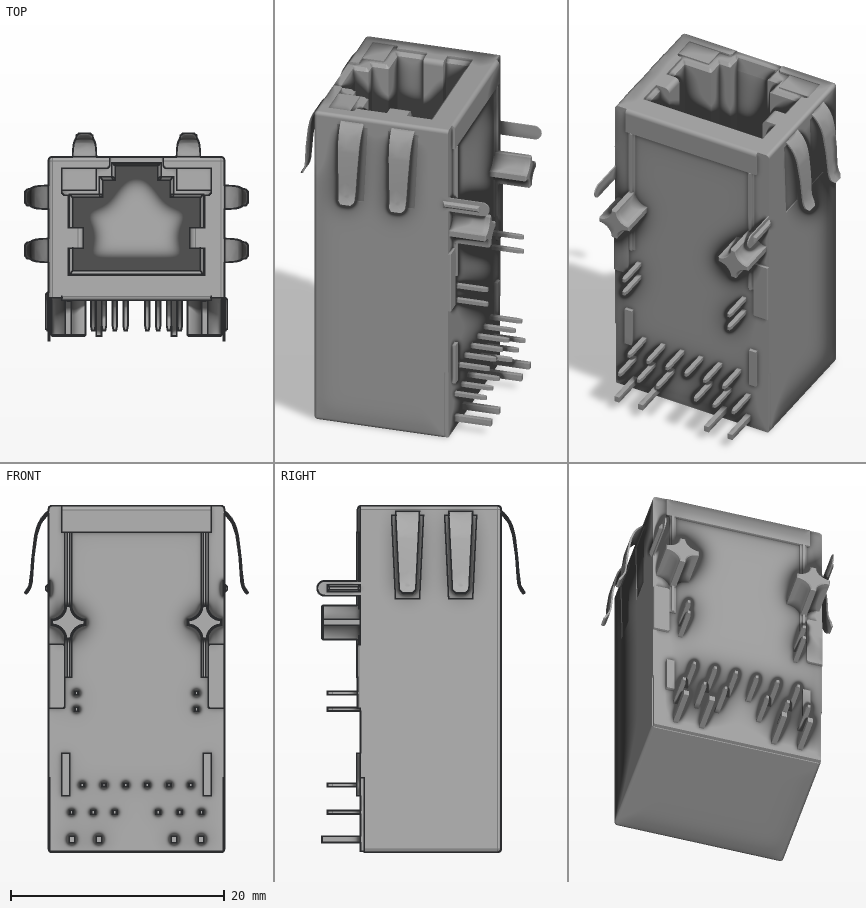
import cadquery as cq
WIDTH = 16.5
DEPTH = 13.2
HEIGHT = 32.5
HALF_WIDTH = WIDTH / 2
EDGE_RADIUS = 0.35
SHEET = 0.2

LIP_HALF_WIDTH = 7.0
LIP_HEIGHT = 2.5
LIP_BEND = 0.4
FOLD_THICKNESS = 0.27

OPENING_DEPTH = 0.25
OPENING_HALF_WIDTH = 6.42
OPENING_BOTTOM = 2.1
LED_BOTTOM = 10.06
LED_TOP = 12.14
LED_INNER = 3.77
LED_OUTER = 7.0
LED_POCKET_BOTTOM = 9.6
LED_RISE = 0.15
OPENING_CORNER = 0.2
BACK_NOTCH_HALF_WIDTH = 2.5
LATCH_LEAD_IN = 0.2
LATCH_LEAD_DEPTH = 1.5

JACK_DEPTH = 14.0
JACK_BOTTOM = 2.5
JACK_HALF_WIDTH = 5.98
SHOULDER_HEIGHT = 9.39
MID_HALF_WIDTH = 3.16
MID_HEIGHT = 11.02
LATCH_HALF_WIDTH = 2.0
LATCH_HEIGHT = 12.35
MOUTH_CHAMFER = 0.31
MOUTH_CHAMFER_ANGLE = 45

CONTACT_TAB_INNER = 5.0
CONTACT_TAB_LOW = 4.63
CONTACT_TAB_HIGH = 6.57
CONTACT_TAB_LENGTH = 6.0
CONTACT_TAB_RADIUS = 0.5

SPRING_REACH = 2.215
SPRING_SHEET = 0.15
SPRING_INNER_DROP = 0.08
SPRING_TOP = 32.1
SPRING_TIP = 24.25
SPRING_TOP_HALF_WIDTH = 1.13
SPRING_TIP_HALF_WIDTH = 0.77
SPRING_TIP_CHAMFER = 0.35
SPRING_BOW = ((0.86, 30.96), (1.43, 28.6), (1.63, 26.4), (1.80, 25.0))
WINDOW_TOP = 31.6
WINDOW_BOTTOM = 23.75
WINDOW_TOP_HALF_WIDTH = 1.5
WINDOW_BOTTOM_HALF_WIDTH = 1.13
WINDOW_DEPTH = 0.1
SIDE_SPRING_POSITIONS = (4.42, 9.4)
BACK_SPRING_X = 4.87

RAIL_X = 6.38
RAIL_WIDTH = 0.65
RAIL_RIB_WIDTH = 0.22
RAIL_BASE_HEIGHT = 0.15
RAIL_HEIGHT = 0.35
RAIL_BOTTOM = 16.4
FOOT_INNER = 6.27
FOOT_OUTER = 7.02
FOOT_BOTTOM = 5.3
FOOT_TOP = 9.3
FOLD_INNER = 6.72
FOLD_BOTTOM = 13.5
FOLD_TOP = 19.5
FOLD_CORNER = 0.2
FOLD_BEND = 0.12
REBATE_HEIGHT = 7.0
REBATE_DEPTH = 0.36
REBATE_INSET = 0.1

PEG_Z = 21.55
PEG_HALF_SPAN = 1.6
PEG_TIP_WIDTH = 0.55
PEG_WAIST = 0.67
PEG_LENGTH = 3.6
PEG_CHAMFER = 0.1

GROUND_TAB_Z = 24.75
GROUND_TAB_WIDTH = 1.4
GROUND_TAB_LENGTH = 4.05
GROUND_TAB_SHEET = 0.12
GROUND_RIB_WIDTH = 0.65
GROUND_RIB_HEIGHT = 0.27
GROUND_RIB_CHAMFER = 0.2
GROUND_RIB_END = 3.12
LEFT_RIB_START = 0.5
RIGHT_RIB_START = 0.0

PIN_PITCH = 2.03
PIN_WIDTH = 0.44
PIN_HEIGHT = 0.36
PIN_TIP_WIDTH = 0.26
PIN_LENGTH = 3.1
PIN_TIP_LENGTH = 0.45
LED_PIN_X = 5.62
LED_PIN_LEVELS = (13.42, 14.93)
UPPER_ROW_Z = 6.32
LOWER_ROW_Z = 3.76
POST_Z = 1.22
POST_POSITIONS = (3.53, 6.06)
POST_WIDTH = 0.5
POST_HEIGHT = 0.6
POST_LENGTH = PEG_LENGTH


def block(x0, x1, y0, y1, z0, z1):
    """Box between opposite corners."""
    size = (x1 - x0, y1 - y0, z1 - z0)
    return cq.Workplane("XY").box(*size, centered=False).translate((x0, y0, z0))


def both_sides(solid):
    """The solid together with its mirror image across the YZ plane."""
    return solid.union(solid.mirror("YZ"))


def mirrored_outline(right_half):
    """Closed outline from its right half, listed from the lowest point up."""
    left_half = [(-x, y) for x, y in reversed(right_half)]
    return right_half + left_half


def shell_body():
    """Rounded box with a sheet lip folded onto its mounting face."""
    body = block(-HALF_WIDTH, HALF_WIDTH, 0, DEPTH, 0, HEIGHT)
    body = body.edges("not <Y").fillet(EDGE_RADIUS)
    corner = block(-LIP_HALF_WIDTH, LIP_HALF_WIDTH, 0, LIP_BEND, HEIGHT - LIP_BEND, HEIGHT)
    lip = block(-LIP_HALF_WIDTH, LIP_HALF_WIDTH, -FOLD_THICKNESS, LIP_BEND, HEIGHT - LIP_HEIGHT, HEIGHT)
    lip = lip.edges(">Z and <Y").fillet(LIP_BEND)
    return body.cut(corner).union(lip)


def lower_rebate():
    """Shallow step along the lower mounting-face corners and bottom edge."""
    side = block(HALF_WIDTH - REBATE_INSET, HALF_WIDTH, 0, REBATE_DEPTH, 0, REBATE_HEIGHT)
    bottom = block(-HALF_WIDTH, HALF_WIDTH, 0, REBATE_DEPTH, 0, REBATE_INSET)
    return both_sides(side).union(bottom)


def shell_opening():
    """Opening in the top sheet, carried out through the back wall behind the latch."""
    right_half = [
        (OPENING_HALF_WIDTH, OPENING_BOTTOM),
        (OPENING_HALF_WIDTH, LED_POCKET_BOTTOM),
        (LED_OUTER - OPENING_CORNER, LED_POCKET_BOTTOM),
        (LED_OUTER, LED_POCKET_BOTTOM + OPENING_CORNER),
        (LED_OUTER, LED_TOP),
        (BACK_NOTCH_HALF_WIDTH + OPENING_CORNER, LED_TOP),
        (BACK_NOTCH_HALF_WIDTH, LED_TOP + OPENING_CORNER),
        (BACK_NOTCH_HALF_WIDTH, DEPTH),
    ]
    outline = cq.Workplane("XY").workplane(offset=HEIGHT).polyline(mirrored_outline(right_half)).close()
    return outline.extrude(-OPENING_DEPTH)


def latch_lead_in():
    """Steep slope at the back of the latch channel, falling into the jack."""
    top = HEIGHT - OPENING_DEPTH
    profile = [
        (LATCH_HEIGHT + LATCH_LEAD_IN, top),
        (LATCH_HEIGHT, top - LATCH_LEAD_DEPTH),
        (MID_HEIGHT, top - LATCH_LEAD_DEPTH),
        (MID_HEIGHT, top),
    ]
    wedge = cq.Workplane("YZ").polyline(profile).close()
    return wedge.extrude(LATCH_HALF_WIDTH, both=True)


def jack_cavity():
    """Stepped plug well with a chamfered mouth."""
    right_half = [
        (JACK_HALF_WIDTH, JACK_BOTTOM),
        (JACK_HALF_WIDTH, SHOULDER_HEIGHT),
        (MID_HALF_WIDTH, SHOULDER_HEIGHT),
        (MID_HALF_WIDTH, MID_HEIGHT),
        (LATCH_HALF_WIDTH, MID_HEIGHT),
        (LATCH_HALF_WIDTH, LATCH_HEIGHT),
    ]
    outline = mirrored_outline(right_half)
    mouth = cq.Workplane("XY").workplane(offset=HEIGHT - OPENING_DEPTH)
    well = mouth.polyline(outline).close().extrude(-JACK_DEPTH)
    flare = mouth.polyline(outline).close().offset2D(MOUTH_CHAMFER, "intersection")
    return well.union(flare.extrude(-MOUTH_CHAMFER, taper=MOUTH_CHAMFER_ANGLE))


def led_windows():
    """Indicator windows in the upper corners of the opening, just below the sheet."""
    floor = HEIGHT - OPENING_DEPTH
    return both_sides(block(LED_INNER, LED_OUTER, LED_BOTTOM, LED_TOP, floor, floor + LED_RISE))


def contact_tabs():
    """Sheet tabs bent down into the jack from its side edges."""
    tab = block(CONTACT_TAB_INNER, OPENING_HALF_WIDTH, CONTACT_TAB_LOW, CONTACT_TAB_HIGH,
                HEIGHT - CONTACT_TAB_LENGTH, HEIGHT)
    return both_sides(tab.edges("<X and >Z").fillet(CONTACT_TAB_RADIUS))


def spring_finger():
    """Bowed finger standing off a wall at x = 0 in +X, centred on y = 0."""
    root = (-SPRING_SHEET, SPRING_TOP)
    tip = (SPRING_REACH, SPRING_TIP + SPRING_INNER_DROP)
    outer = [root, *SPRING_BOW, tip]
    inner = [(x - SPRING_SHEET, z - SPRING_INNER_DROP) for x, z in reversed(outer)]
    bow = (
        cq.Workplane("XZ", origin=(0, SPRING_TOP_HALF_WIDTH, 0))
        .spline(outer)
        .lineTo(*inner[0])
        .spline(inner[1:], includeCurrent=True)
        .close()
        .extrude(2 * SPRING_TOP_HALF_WIDTH)
    )
    right_half = [
        (SPRING_TIP_HALF_WIDTH - SPRING_TIP_CHAMFER, SPRING_TIP),
        (SPRING_TIP_HALF_WIDTH, SPRING_TIP + SPRING_TIP_CHAMFER),
        (SPRING_TOP_HALF_WIDTH, SPRING_TOP),
    ]
    taper = cq.Workplane("YZ").polyline(mirrored_outline(right_half)).close()
    return bow.intersect(taper.extrude(SPRING_REACH, both=True))


def spring_window():
    """Shallow window in the wall at x = 0 around a spring finger."""
    right_half = [
        (WINDOW_BOTTOM_HALF_WIDTH, WINDOW_BOTTOM),
        (WINDOW_TOP_HALF_WIDTH, WINDOW_TOP),
    ]
    outline = cq.Workplane("YZ").polyline(mirrored_outline(right_half)).close()
    return outline.extrude(-WINDOW_DEPTH)


def at_spring_stations(feature):
    """Copies of a wall feature at the two side walls and the back wall."""
    placed = cq.Workplane("XY")
    for y in SIDE_SPRING_POSITIONS:
        placed = placed.add(both_sides(feature.translate((HALF_WIDTH, y, 0))))
    turned = feature.rotate((0, 0, 0), (0, 0, 1), 90)
    placed = placed.add(both_sides(turned.translate((BACK_SPRING_X, DEPTH, 0))))
    return placed.combine()


def rails():
    """Long stepped rails above and feet below on the mounting face."""
    top = HEIGHT - LIP_HEIGHT
    half_width = RAIL_WIDTH / 2
    half_rib = RAIL_RIB_WIDTH / 2
    base = block(RAIL_X - half_width, RAIL_X + half_width, -RAIL_BASE_HEIGHT, SHEET, RAIL_BOTTOM, top)
    rib = block(RAIL_X - half_rib, RAIL_X + half_rib, -RAIL_HEIGHT, SHEET, RAIL_BOTTOM, top)
    foot = block(FOOT_INNER, FOOT_OUTER, -RAIL_HEIGHT, SHEET, FOOT_BOTTOM, FOOT_TOP)
    return both_sides(base.union(rib).union(foot))


def folded_tabs():
    """Side sheet folded over onto the mounting face."""
    tab = block(FOLD_INNER, HALF_WIDTH, -FOLD_THICKNESS, SHEET, FOLD_BOTTOM, FOLD_TOP)
    tab = tab.edges("|Y and <X").fillet(FOLD_CORNER)
    return both_sides(tab.edges("<Y and >X").fillet(FOLD_BEND))


def pegs():
    """Four-pointed locating pegs with hollow flanks."""
    tip = PEG_TIP_WIDTH / 2
    span = PEG_HALF_SPAN
    waist = PEG_WAIST
    star = (
        cq.Workplane("XZ", origin=(RAIL_X, SHEET, PEG_Z))
        .moveTo(span, -tip)
        .lineTo(span, tip)
        .threePointArc((waist, waist), (tip, span))
        .lineTo(-tip, span)
        .threePointArc((-waist, waist), (-span, tip))
        .lineTo(-span, -tip)
        .threePointArc((-waist, -waist), (-tip, -span))
        .lineTo(tip, -span)
        .threePointArc((waist, -waist), (span, -tip))
        .close()
        .extrude(SHEET + PEG_LENGTH)
    )
    return both_sides(star.faces("<Y").chamfer(PEG_CHAMFER))


def ground_tab(rib_start):
    """Round-ended board tab at the +X wall with an embossed outer rib."""
    half = GROUND_TAB_WIDTH / 2
    inner = HALF_WIDTH - GROUND_TAB_SHEET
    centre_y = half - GROUND_TAB_LENGTH
    plate = block(inner, HALF_WIDTH, centre_y, SHEET, GROUND_TAB_Z - half, GROUND_TAB_Z + half)
    end = cq.Workplane("YZ", origin=(inner, centre_y, GROUND_TAB_Z)).circle(half).extrude(GROUND_TAB_SHEET)
    half_rib = GROUND_RIB_WIDTH / 2
    rib_low = GROUND_TAB_Z - half_rib
    rib_high = GROUND_TAB_Z + half_rib
    rib_outer = HALF_WIDTH + GROUND_RIB_HEIGHT
    rib = block(inner, rib_outer, -GROUND_RIB_END, rib_start, rib_low, rib_high)
    rib = rib.faces(">X").chamfer(GROUND_RIB_CHAMFER)
    return plate.union(end).union(rib)


def pin(x, z):
    """Flat pin with a tip narrowed in X."""
    half = PIN_WIDTH / 2
    half_tip = PIN_TIP_WIDTH / 2
    right_half = [
        (half_tip, -PIN_LENGTH),
        (half, PIN_TIP_LENGTH - PIN_LENGTH),
        (half, SHEET),
    ]
    outline = cq.Workplane("XY", origin=(x, 0, z)).polyline(mirrored_outline(right_half)).close()
    return outline.extrude(PIN_HEIGHT / 2, both=True)


def pins():
    """Indicator pins, two staggered signal rows and the lowest row of square-ended posts."""
    group = cq.Workplane("XY")
    for z in LED_PIN_LEVELS:
        group = group.add(both_sides(pin(LED_PIN_X, z)))
    for step in (1, 2, 3):
        group = group.add(both_sides(pin((step - 0.5) * PIN_PITCH, UPPER_ROW_Z)))
        group = group.add(both_sides(pin(step * PIN_PITCH, LOWER_ROW_Z)))
    for x in POST_POSITIONS:
        post = block(x - POST_WIDTH / 2, x + POST_WIDTH / 2, -POST_LENGTH, SHEET,
                     POST_Z - POST_HEIGHT / 2, POST_Z + POST_HEIGHT / 2)
        group = group.add(both_sides(post))
    return group.combine()


result = shell_body()
for removed in (
    lower_rebate(),
    shell_opening(),
    jack_cavity(),
    latch_lead_in(),
    at_spring_stations(spring_window()),
):
    result = result.cut(removed)
for added in (
    led_windows(),
    contact_tabs(),
    at_spring_stations(spring_finger()),
    rails(),
    folded_tabs(),
    pegs(),
    ground_tab(RIGHT_RIB_START),
    ground_tab(LEFT_RIB_START).mirror("YZ"),
    pins(),
):
    result = result.union(added)
result = cq.Workplane(result.solids().val())